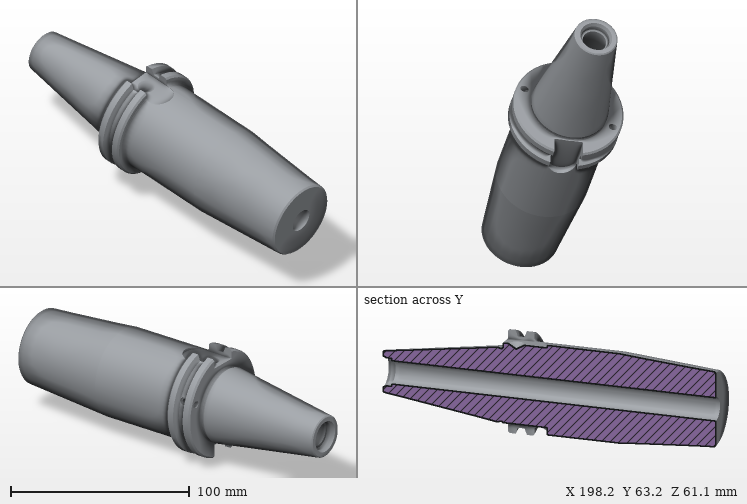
import cadquery as cq
import math

total_length = 198.2
bore_diameter = 13.5

taper_length = 68.2
taper_large_diameter = 44.5
taper_rate = 7 / 24
shank_end_chamfer = 0.5

relief_diameter = 43.2
relief_chamfer_length = 1.4
relief_fillet = 0.8

entry_diameter = 16.3
entry_depth = 5.0
entry_chamfer = 1.0
entry_chamfer_length = 2.0

flange_start = 71.4
flange_width = 15.9
flange_diameter = 63.2
flange_chamfer = 1.0
groove_diameter = 56.3
groove_centre = 79.3
groove_floor_width = 4.0
groove_mouth_width = 6.7

body_diameter = 53.0
body_fillet = 1.8
nose_cone_start = 141.0
nose_diameter = 44.5
nose_face_diameter = 42.8
nose_chamfer_length = 1.0

slot_width = 16.3
slot_end = 97.5
upper_slot_floor = 25.0
lower_slot_floor = 22.2
dimple_diameter = 9.5
dimple_depth = 2.8

coolant_angle = 20.0
face_hole_diameter = 4.0
face_hole_radius = 27.0
face_hole_tilt = 35.0
face_hole_depth = 3.0
drill_point_angle = 118.0
groove_hole_diameter = 4.2
groove_hole_depth = 1.0
groove_pilot_diameter = 2.4
groove_pilot_depth = 6.0

flange_end = flange_start + flange_width
taper_small_diameter = taper_large_diameter - taper_length * taper_rate


def turned_body():
    """Full outside profile, from the small end of the taper to the nose."""
    shank_radius = taper_small_diameter / 2
    flange_radius = flange_diameter / 2
    groove_radius = groove_diameter / 2
    body_radius = body_diameter / 2
    nose_radius = nose_diameter / 2
    relief_radius = relief_diameter / 2
    chamfer_radius = shank_radius + shank_end_chamfer * taper_rate / 2
    arc_offset = 1 - math.sqrt(0.5)
    return (
        cq.Workplane("XY")
        .lineTo(0, shank_radius - shank_end_chamfer)
        .lineTo(shank_end_chamfer, chamfer_radius)
        .lineTo(taper_length, taper_large_diameter / 2)
        .lineTo(taper_length + relief_chamfer_length, relief_radius)
        .lineTo(flange_start - relief_fillet, relief_radius)
        .threePointArc(
            (flange_start - relief_fillet * arc_offset, relief_radius + relief_fillet * arc_offset),
            (flange_start, relief_radius + relief_fillet),
        )
        .lineTo(flange_start, flange_radius - flange_chamfer)
        .lineTo(flange_start + flange_chamfer, flange_radius)
        .lineTo(groove_centre - groove_mouth_width / 2, flange_radius)
        .lineTo(groove_centre - groove_floor_width / 2, groove_radius)
        .lineTo(groove_centre + groove_floor_width / 2, groove_radius)
        .lineTo(groove_centre + groove_mouth_width / 2, flange_radius)
        .lineTo(flange_end - flange_chamfer, flange_radius)
        .lineTo(flange_end, flange_radius - flange_chamfer)
        .lineTo(flange_end, body_radius + body_fillet)
        .threePointArc(
            (flange_end + body_fillet * arc_offset, body_radius + body_fillet * arc_offset),
            (flange_end + body_fillet, body_radius),
        )
        .lineTo(nose_cone_start, body_radius)
        .lineTo(total_length - nose_chamfer_length, nose_radius)
        .lineTo(total_length, nose_face_diameter / 2)
        .lineTo(total_length, 0)
        .close()
        .revolve(360, (0, 0, 0), (1, 0, 0))
    )


def bore():
    """Through bore with a wider, chamfered drawbar entry."""
    bore_radius = bore_diameter / 2
    entry_radius = entry_diameter / 2
    return (
        cq.Workplane("XY")
        .lineTo(0, entry_radius + entry_chamfer)
        .lineTo(entry_chamfer_length, entry_radius)
        .lineTo(entry_depth, entry_radius)
        .lineTo(entry_depth, bore_radius)
        .lineTo(total_length, bore_radius)
        .lineTo(total_length, 0)
        .close()
        .revolve(360, (0, 0, 0), (1, 0, 0))
    )


def drive_slot(floor_height, side):
    """Round-ended slot, open toward the taper; side is +1 for +Z and -1 for -Z."""
    end_centre = slot_end - slot_width / 2
    return (
        cq.Workplane("XY", origin=(0, 0, side * floor_height))
        .moveTo(flange_start, -slot_width / 2)
        .lineTo(end_centre, -slot_width / 2)
        .threePointArc((slot_end, 0), (end_centre, slot_width / 2))
        .lineTo(flange_start, slot_width / 2)
        .close()
        .extrude(side * flange_diameter / 2)
    )


def dimple():
    """Conical dimple in the floor of the upper slot."""
    tip = (groove_centre, 0, upper_slot_floor - dimple_depth)
    return cq.Workplane(cq.Solid.makeCone(0, dimple_diameter / 2, dimple_depth, pnt=tip, dir=(0, 0, 1)))


def drilled_hole(mouth, direction, diameter, depth):
    """Blind hole with a drill point; it starts one diameter before its mouth to clear slanted faces."""
    radius = diameter / 2
    start = mouth - direction * diameter
    point_length = radius / math.tan(math.radians(drill_point_angle / 2))
    barrel = cq.Solid.makeCylinder(radius, depth + diameter, start, direction)
    point = cq.Solid.makeCone(radius, 0, point_length, mouth + direction * depth, direction)
    return cq.Workplane(barrel).union(cq.Workplane(point))


def coolant_passage(angle):
    """Inclined hole in the flange face and radial hole in the groove floor."""
    outward = cq.Vector(0, math.cos(math.radians(angle)), math.sin(math.radians(angle)))
    along = cq.Vector(1, 0, 0)
    tilt = math.radians(face_hole_tilt)
    inward_drill = along * math.cos(tilt) - outward * math.sin(tilt)
    mouth = along * flange_start + outward * face_hole_radius
    face_hole = drilled_hole(mouth, inward_drill, face_hole_diameter, face_hole_depth)
    groove_mouth = along * groove_centre + outward * (groove_diameter / 2)
    groove_hole = cq.Solid.makeCylinder(
        groove_hole_diameter / 2, groove_hole_depth + groove_hole_diameter,
        groove_mouth + outward * groove_hole_diameter, outward * -1
    )
    pilot_hole = drilled_hole(groove_mouth, outward * -1, groove_pilot_diameter, groove_pilot_depth)
    return face_hole.union(cq.Workplane(groove_hole)).union(pilot_hole)


result = turned_body().cut(bore())
result = result.cut(drive_slot(upper_slot_floor, 1))
result = result.cut(drive_slot(lower_slot_floor, -1))
result = result.cut(dimple())
for angle in (coolant_angle, coolant_angle + 180):
    result = result.cut(coolant_passage(angle))